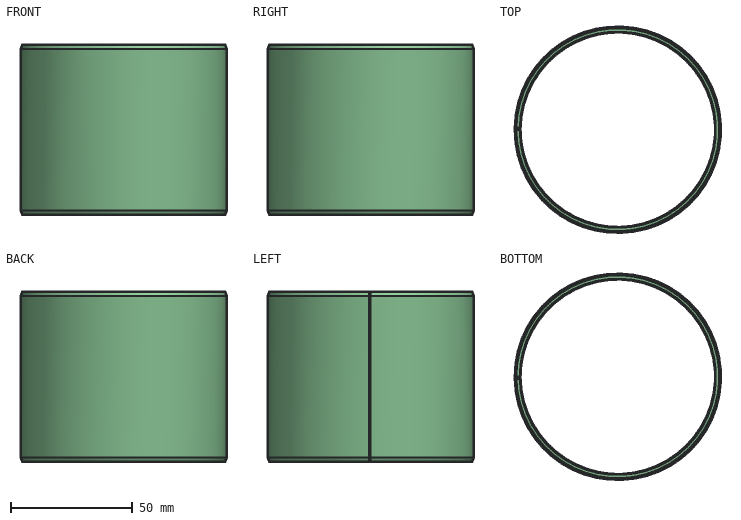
import cadquery as cq

outer_diameter = 85.0
wall_thickness = 2.5
length = 70.0

outer_chamfer_length = 1.8
outer_chamfer_depth = 0.7
inner_chamfer = 0.3

slit_angle = 1.0

outer_radius = outer_diameter / 2
inner_radius = outer_radius - wall_thickness
half_length = length / 2


def sleeve():
    """Sweep the chamfered wall section from -X around Z, stopping short to leave the slit."""
    section = [
        (inner_radius, -half_length + inner_chamfer),
        (inner_radius + inner_chamfer, -half_length),
        (outer_radius - outer_chamfer_depth, -half_length),
        (outer_radius, -half_length + outer_chamfer_length),
        (outer_radius, half_length - outer_chamfer_length),
        (outer_radius - outer_chamfer_depth, half_length),
        (inner_radius + inner_chamfer, half_length),
        (inner_radius, half_length - inner_chamfer),
    ]
    profile = cq.Workplane("XZ").polyline(section).close()
    ring = profile.revolve(360 - slit_angle, (0, 0, 0), (0, 1, 0))
    return ring.rotate((0, 0, 0), (0, 0, 1), 180)


result = sleeve()